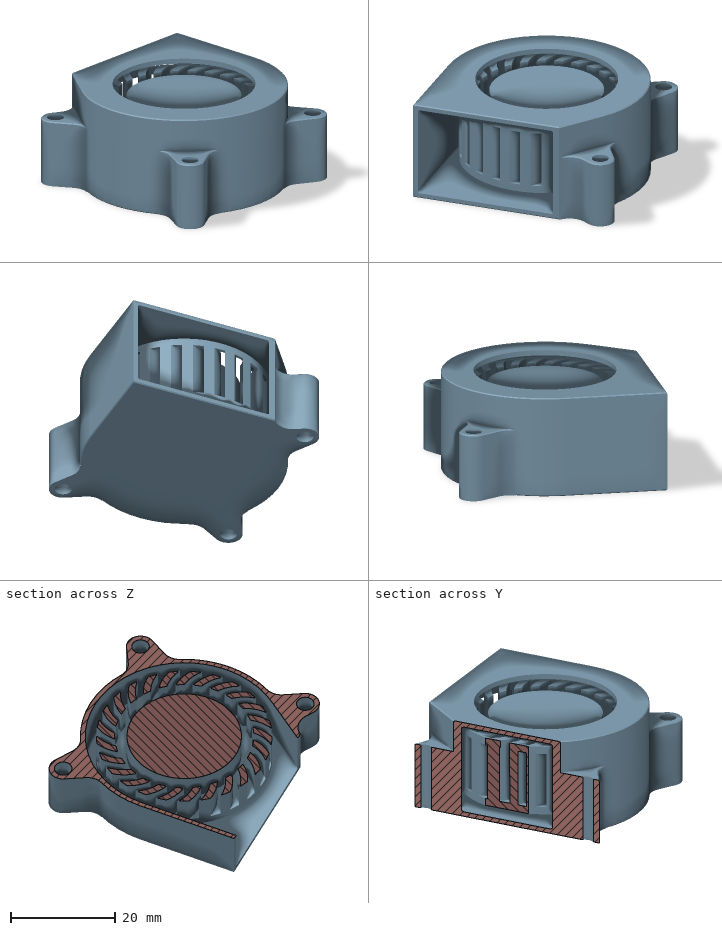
import cadquery as cq
import math

casing_radius = 20.0
casing_height = 19.6
wall = 1.0
edge_chamfer = 0.2
flat_cos = 0.6
flat_sin = 0.8
inlet_radius = 27.5 / 2

ear_height = 13.15
ear_radius = 2.75
ear_offset = 20.25 - ear_radius
ear_side_angle = 15
ear_fillet = 3.5
fillet_sink = 0.01
ear_hole_diameter = 3.3

impeller_radius = 33.9 / 2
impeller_bottom = 3.2
impeller_top = 17.3
rim_height = 1.5
ring_width = 0.6
hub_radius = 22.1 / 2
blade_count = 25
blade_inner_radius = 13.32
blade_half_angle = 3.6
blade_lean = 8.2
blade_curl = 3.6
gap_overrun = 0.4
first_blade_angle = -90


def polar(radius, degrees):
    angle = math.radians(degrees)
    return (radius * math.cos(angle), radius * math.sin(angle))


def d_outline(inset, outlet_x):
    """Casing outline moved inward by inset, ending at the plane x = outlet_x."""
    radius = casing_radius - inset
    corner_y = (-radius - flat_cos * outlet_x) / flat_sin
    return (
        cq.Workplane("XY")
        .moveTo(outlet_x, corner_y)
        .lineTo(-flat_cos * radius, -flat_sin * radius)
        .threePointArc(polar(radius, -30), (0, radius))
        .lineTo(outlet_x, radius)
        .close()
    )


def make_shell():
    shell = d_outline(0, -casing_radius).extrude(casing_height)
    return shell.faces("<Z or >Z").edges().chamfer(edge_chamfer)


def make_cavity():
    """Air space with chamfered floor and ceiling edges, open at the outlet."""
    overrun = 2 * wall
    return (
        d_outline(wall, -casing_radius - overrun)
        .extrude(casing_height - 2 * wall)
        .faces("<Z or >Z")
        .edges("not <X")
        .chamfer(edge_chamfer)
        .translate((0, 0, wall))
    )


def ear_side(is_flat):
    """Corner points of one ear side, for an ear centred on +X; the side lies at +Y.

    Returns the tangent point on the ear's round end, the start, middle and end of the fillet.
    """
    tilt = math.radians(ear_side_angle)
    along = (math.cos(tilt), -math.sin(tilt))
    outward = (math.sin(tilt), math.cos(tilt))
    ear_distance = ear_offset * math.sqrt(2)
    side_distance = ear_distance * outward[0] + ear_radius
    tangent = (ear_distance + ear_radius * outward[0], ear_radius * outward[1])

    centre_out = side_distance + ear_fillet
    centre_reach = casing_radius - fillet_sink + ear_fillet
    if is_flat:
        turn = math.radians(45) - math.atan2(flat_sin, flat_cos)
        normal = (math.cos(turn), -abs(math.sin(turn)))
        across = normal[0] * outward[0] + normal[1] * outward[1]
        centre_along = (centre_reach - centre_out * across) / (normal[0] * along[0] + normal[1] * along[1])
    else:
        centre_along = math.sqrt(centre_reach**2 - centre_out**2)
    centre = tuple(centre_out * n + centre_along * t for n, t in zip(outward, along))
    if not is_flat:
        normal = (centre[0] / centre_reach, centre[1] / centre_reach)

    middle = (-outward[0] - normal[0], -outward[1] - normal[1])
    middle_length = math.hypot(*middle)
    start = tuple(c - ear_fillet * n for c, n in zip(centre, outward))
    between = tuple(c + ear_fillet * m / middle_length for c, m in zip(centre, middle))
    end = tuple(c - ear_fillet * n for c, n in zip(centre, normal))
    return tangent, start, between, end


def make_ear(angle, flat_on_right=False):
    """Ear pointing outward at an angle, with a chamfered top edge."""
    left = ear_side(False)
    right = [(x, -y) for x, y in ear_side(flat_on_right)]
    inner_share = 1 - wall / 2 / casing_radius
    ear = (
        cq.Workplane("XY")
        .moveTo(*left[3])
        .threePointArc(left[2], left[1])
        .lineTo(*left[0])
        .threePointArc((ear_offset * math.sqrt(2) + ear_radius, 0), right[0])
        .lineTo(*right[1])
        .threePointArc(right[2], right[3])
        .lineTo(*[inner_share * p for p in right[3]])
        .lineTo(*[inner_share * p for p in left[3]])
        .close()
        .extrude(ear_height)
    )
    ear = ear.faces(">Z").chamfer(edge_chamfer)
    return ear.rotate((0, 0, 0), (0, 0, 1), angle)


def make_housing():
    housing = make_shell()
    housing = housing.union(make_ear(45)).union(make_ear(-45)).union(make_ear(-135, True))
    housing = housing.cut(make_cavity())
    inlet = cq.Workplane("XY").workplane(offset=casing_height / 2).circle(inlet_radius).extrude(casing_height)
    housing = housing.cut(inlet)
    holes = (
        cq.Workplane("XY")
        .pushPoints([(ear_offset, ear_offset), (ear_offset, -ear_offset), (-ear_offset, -ear_offset)])
        .circle(ear_hole_diameter / 2)
        .extrude(ear_height)
    )
    return housing.cut(holes)


def blade_side_point(radius, angle):
    """Point at a given radius on a backward-leaning blade side that starts at an angle."""
    depth = (radius - blade_inner_radius) / (impeller_radius - blade_inner_radius)
    return polar(radius, angle - blade_lean * depth - blade_curl * depth**2)


def make_blade_gap(angle):
    """Air gap behind the blade at an angle, running out below the top ring."""
    start = angle + blade_half_angle
    end = angle + 360 / blade_count - blade_half_angle
    inner = blade_inner_radius - gap_overrun
    middle = (blade_inner_radius + impeller_radius) / 2
    outer = impeller_radius + gap_overrun
    gap = (
        cq.Workplane("XY")
        .workplane(offset=impeller_bottom + rim_height)
        .moveTo(*blade_side_point(inner, start))
        .threePointArc(blade_side_point(middle, start), blade_side_point(outer, start))
        .lineTo(*blade_side_point(outer, end))
        .threePointArc(blade_side_point(middle, end), blade_side_point(inner, end))
        .close()
        .extrude(impeller_top - impeller_bottom)
    )
    ring_space = (
        cq.Workplane("XY")
        .workplane(offset=impeller_top - rim_height)
        .circle(impeller_radius + 2 * gap_overrun)
        .circle(impeller_radius - ring_width)
        .extrude(2 * impeller_top)
    )
    return gap.cut(ring_space)


def make_impeller():
    """Hub and blades on a disc, with a thin ring joining the blade tips at the top."""
    base = cq.Workplane("XY").workplane(offset=impeller_bottom)
    impeller = base.circle(impeller_radius).extrude(impeller_top - impeller_bottom)
    channel = (
        base.workplane(offset=rim_height)
        .circle(blade_inner_radius)
        .circle(hub_radius)
        .extrude(impeller_top - impeller_bottom)
    )
    impeller = impeller.cut(channel)
    for index in range(blade_count):
        impeller = impeller.cut(make_blade_gap(first_blade_angle + index * 360 / blade_count))
    return impeller


housing = make_housing()
impeller = make_impeller()
result = cq.Compound.makeCompound([housing.val(), impeller.val()])